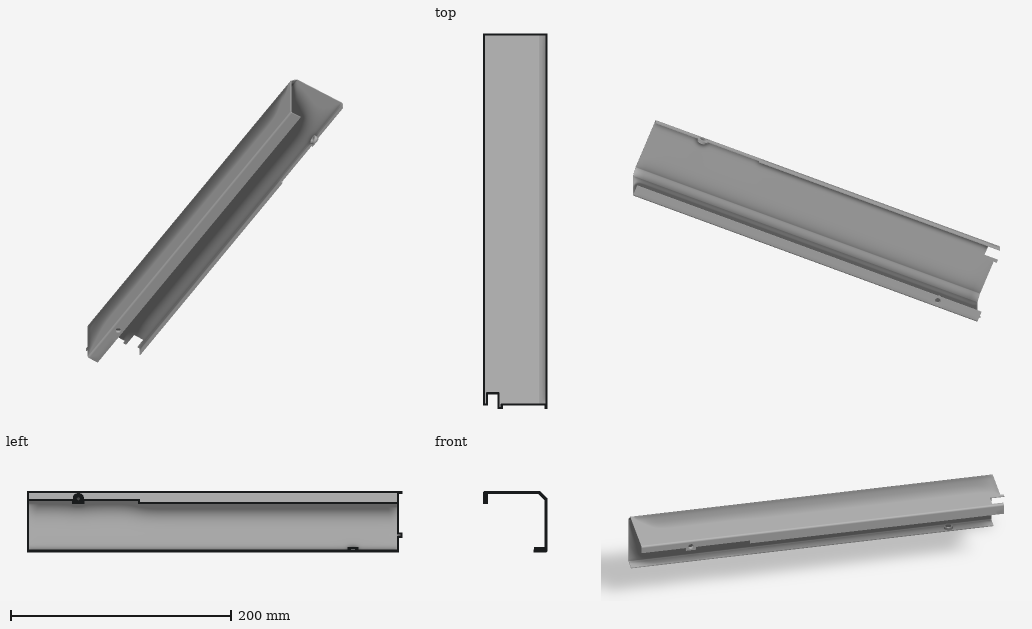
import cadquery as cq
import math

width = 57.0
length = 339.0
height = 54.0
sheet = 0.8
bend_radius = 1.7

corner_bevel = 6.8
left_flange_height = 10.2
bottom_flange_width = 11.0

tab_length = 3.0
tab_width = 3.0
front_y = tab_length
top_tab_x = 13.2
side_tab_z = 13.2
notch_x = 3.0
notch_width = top_tab_x - notch_x
notch_depth = 10.2

relief_start_y = 238.3
relief_height = 3.0
lug_width = 9.5

collar_diameter = 8.0
collar_bore = 5.0
collar_height = 3.0
side_collar_y = 293.2
side_collar_z = height - 6.0
bottom_collar_x = width - 6.5
bottom_collar_y = 44.0


def block(x, y, z, dx, dy, dz):
    """Box given by its lowest corner and its sizes."""
    return cq.Workplane("XY").box(dx, dy, dz, centered=False).translate((x, y, z))


def folded_sheet():
    """Open section with rounded bends, extruded along Y."""
    bevel_shift = sheet * math.tan(math.pi / 8)
    inner_right = width - sheet
    inner_top = height - sheet
    flange_end_z = height - left_flange_height
    flange_end_x = width - bottom_flange_width
    outline = [
        (0, flange_end_z),
        (0, height),
        (width - corner_bevel, height),
        (width, height - corner_bevel),
        (width, 0),
        (flange_end_x, 0),
        (flange_end_x, sheet),
        (inner_right, sheet),
        (inner_right, height - corner_bevel - bevel_shift),
        (width - corner_bevel - bevel_shift, inner_top),
        (sheet, inner_top),
        (sheet, flange_end_z),
    ]
    body = cq.Workplane("XZ").polyline(outline).close().extrude(-(length - front_y))
    body = body.translate((0, front_y, 0))

    outer_bends = [outline[i] for i in (1, 2, 3, 4)]
    inner_bends = [outline[i] for i in (7, 8, 9, 10)]
    for bends, radius in ((outer_bends, bend_radius), (inner_bends, bend_radius - sheet)):
        for x, z in bends:
            edge = cq.selectors.NearestToPointSelector((x, (front_y + length) / 2, z))
            body = body.edges("|Y").edges(edge).fillet(radius)
    return body


def collar(plane, center, bore_only=False):
    """Cylinder that rises inward from a flange's outer face."""
    diameter = collar_bore if bore_only else collar_diameter
    return cq.Workplane(plane, origin=center).circle(diameter / 2).extrude(collar_height)


result = folded_sheet()

result = result.cut(block(notch_x, front_y, height - sheet, notch_width, notch_depth, sheet))
result = result.union(block(top_tab_x, 0, height - sheet, tab_width, front_y + sheet, sheet))
result = result.union(block(width - sheet, 0, side_tab_z, sheet, front_y + sheet, tab_width))

flange_bottom = height - left_flange_height
lug_start_y = side_collar_y - lug_width / 2
lug_end_y = lug_start_y + lug_width
for start_y, end_y in ((relief_start_y, lug_start_y), (lug_end_y, length)):
    result = result.cut(block(0, start_y, flange_bottom, sheet, end_y - start_y, relief_height))

collars = (
    ("YZ", (0, side_collar_y, side_collar_z)),
    ("XY", (bottom_collar_x, bottom_collar_y, 0)),
)
for plane, center in collars:
    result = result.union(collar(plane, center))
    result = result.cut(collar(plane, center, bore_only=True))